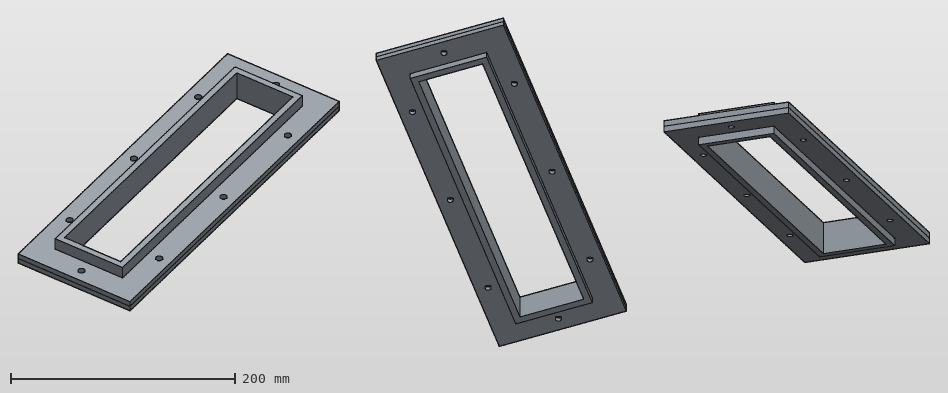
import cadquery as cq

flange_width = 120.0
flange_length = 336.0
flange_thickness = 5.5

collar_inset = 24.0
collar_wall = 6.0
total_height = 30.0
collar_rise = 12.0
collar_bottom = flange_thickness + collar_rise - total_height

upper_hole_diameter = 6.5
lower_hole_diameter = 5.5
side_hole_pitch = 103.0

collar_width = flange_width - 2 * collar_inset
collar_length = flange_length - 2 * collar_inset
opening_width = collar_width - 2 * collar_wall
opening_length = collar_length - 2 * collar_wall
side_hole_x = (flange_width - collar_inset) / 2
end_hole_y = (flange_length - collar_inset) / 2

end_holes = [(0, y) for y in (-end_hole_y, end_hole_y)]
side_holes = [
    (x, row * side_hole_pitch)
    for x in (-side_hole_x, side_hole_x)
    for row in (-1, 0, 1)
]
hole_points = end_holes + side_holes


def make_flange(hole_diameter):
    """Drilled rectangular plate standing on Z = 0."""
    flange = (
        cq.Workplane("XY")
        .rect(flange_width, flange_length)
        .extrude(flange_thickness)
    )
    bolt_holes = (
        cq.Workplane("XY")
        .pushPoints(hole_points)
        .circle(hole_diameter / 2)
        .extrude(flange_thickness)
    )
    return flange.cut(bolt_holes)


def make_collar_block(width, length):
    """Rectangular block over the full height of the collar."""
    return (
        cq.Workplane("XY")
        .workplane(offset=collar_bottom)
        .rect(width, length)
        .extrude(total_height)
    )


def make_flanged_collar():
    """Upper flange in one piece with the collar that runs through both flanges."""
    flange = make_flange(upper_hole_diameter)
    collar = make_collar_block(collar_width, collar_length)
    opening = make_collar_block(opening_width, opening_length)
    return flange.union(collar).cut(opening)


def make_backing_ring():
    """Lower flange fitted around the collar, with its top face at Z = 0."""
    flange = make_flange(lower_hole_diameter)
    placed_flange = flange.translate((0, 0, -flange_thickness))
    return placed_flange.cut(make_collar_block(collar_width, collar_length))


flanged_collar = make_flanged_collar()
backing_ring = make_backing_ring()

result = cq.Compound.makeCompound([flanged_collar.val(), backing_ring.val()])